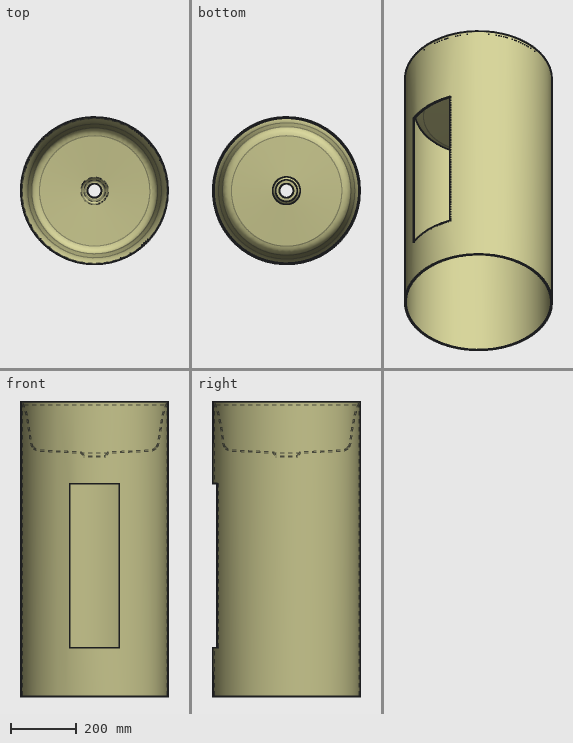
import cadquery as cq
import math

height = 900.0
outer_radius = 450.0 / 2
bore_radius = 442.0 / 2
wall_thickness = outer_radius - bore_radius
rim_radius = wall_thickness / 2

window_width = 150.0
window_height = 500.0
window_bottom = 150.0

flare_end_radius = 204.0
flare_end_depth = 49.0
wall_slope = math.radians(81)
floor_edge_depth = 146.0
floor_slope = math.radians(2.5)
floor_edge_fillet = 25.0
basin_thickness = wall_thickness

drain_hole_radius = 42.0 / 2
drain_seat_radius = 31.0
drain_edge_radius = 40.0
drain_depth = 12.0
drain_seat_fillet = 4.0
drain_edge_fillet = 2.0

flare_end = (flare_end_radius, height - flare_end_depth)
floor_edge_radius = flare_end_radius - (floor_edge_depth - flare_end_depth) / math.tan(wall_slope)
floor_edge = (floor_edge_radius, height - floor_edge_depth)
drain_edge_z = floor_edge[1] - (floor_edge_radius - drain_edge_radius) * math.tan(floor_slope)
drain_edge = (drain_edge_radius, drain_edge_z)
drain_seat = (drain_seat_radius, drain_edge_z - drain_depth)
drain_slope = math.atan2(drain_depth, drain_edge_radius - drain_seat_radius)
seat_slope = 0.0


def polar(center, radius, angle):
    return (center[0] + radius * math.cos(angle), center[1] + radius * math.sin(angle))


def underside_corner(corner, slope_a, slope_b):
    """Corner of the underside, one basin thickness away from two surfaces that meet at corner."""
    bisector = (slope_a + slope_b) / 2 - math.pi / 2
    distance = basin_thickness / math.cos((slope_a - slope_b) / 2)
    return polar(corner, distance, bisector)


underside_floor_edge = underside_corner(floor_edge, wall_slope, floor_slope)
underside_drain_edge = underside_corner(drain_edge, floor_slope, drain_slope)
underside_drain_seat = underside_corner(drain_seat, drain_slope, seat_slope)
underside_flare_end = underside_corner(flare_end, wall_slope, wall_slope)


def flare_arc(rim_center):
    """Center and radius of the arc tangent to the basin wall at flare_end and to the rim round."""
    into_wall = wall_slope - math.pi / 2
    gap = (flare_end[0] - rim_center[0], flare_end[1] - rim_center[1])
    gap_along_normal = gap[0] * math.cos(into_wall) + gap[1] * math.sin(into_wall)
    gap_squared = gap[0] ** 2 + gap[1] ** 2
    radius = (rim_radius**2 - gap_squared) / (2 * (gap_along_normal + rim_radius))
    return polar(flare_end, radius, into_wall), radius


def half_section():
    """Half section of the tube and basin, with sharp corners in the basin floor and drain."""
    rim_center = (outer_radius - rim_radius, height - rim_radius)
    flare_center, flare_radius = flare_arc(rim_center)
    flare_start_angle = math.atan2(rim_center[1] - flare_center[1], rim_center[0] - flare_center[0])
    flare_end_angle = math.pi / 2 + wall_slope
    flare_middle_angle = (flare_start_angle + flare_end_angle) / 2
    flare_start = polar(rim_center, rim_radius, flare_start_angle)
    flare_middle = polar(flare_center, flare_radius, flare_middle_angle)
    rim_middle = polar(rim_center, rim_radius, flare_start_angle / 2)

    underside_flare_radius = flare_radius - basin_thickness
    bore_top_angle = math.acos((bore_radius - flare_center[0]) / underside_flare_radius)
    bore_top = polar(flare_center, underside_flare_radius, bore_top_angle)
    underside_middle_angle = (bore_top_angle + flare_end_angle) / 2
    underside_flare_middle = polar(flare_center, underside_flare_radius, underside_middle_angle)

    return (
        cq.Workplane("XZ")
        .moveTo(outer_radius, 0)
        .lineTo(outer_radius, rim_center[1])
        .threePointArc(rim_middle, flare_start)
        .threePointArc(flare_middle, flare_end)
        .lineTo(*floor_edge)
        .lineTo(*drain_edge)
        .lineTo(*drain_seat)
        .lineTo(drain_hole_radius, drain_seat[1])
        .lineTo(drain_hole_radius, underside_drain_seat[1])
        .lineTo(*underside_drain_seat)
        .lineTo(*underside_drain_edge)
        .lineTo(*underside_floor_edge)
        .lineTo(*underside_flare_end)
        .threePointArc(underside_flare_middle, bore_top)
        .lineTo(bore_radius, 0)
        .close()
    )


def fillet_ring(body, corner, fillet_radius):
    """Fillet the circular edge that the given section corner sweeps around the axis."""
    slack = 0.01
    reach = corner[0] + slack
    ring = cq.selectors.BoxSelector(
        (-reach, -reach, corner[1] - slack),
        (reach, reach, corner[1] + slack),
        boundingbox=True,
    )
    outer_ring = cq.selectors.RadiusNthSelector(-1)
    return body.edges(ring).edges("%CIRCLE").edges(outer_ring).fillet(fillet_radius)


def window():
    """Block that opens the -Y side of the tube."""
    return (
        cq.Workplane("XY", origin=(0, 0, window_bottom))
        .rect(window_width, outer_radius)
        .extrude(window_height)
        .translate((0, -outer_radius / 2, 0))
    )


body = half_section().revolve(360, (0, 0, 0), (0, 1, 0))
body = fillet_ring(body, floor_edge, floor_edge_fillet)
body = fillet_ring(body, underside_floor_edge, floor_edge_fillet + basin_thickness)
body = fillet_ring(body, drain_edge, drain_edge_fillet)
body = fillet_ring(body, drain_seat, drain_seat_fillet)
result = body.cut(window())